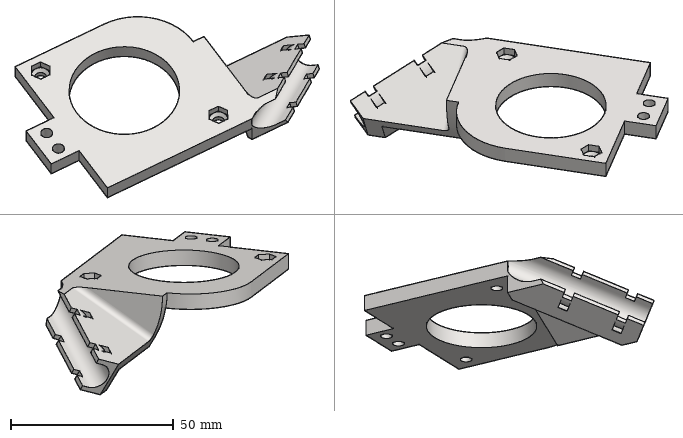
import cadquery as cq
import math

PLATE_WIDTH = 55.0
PLATE_LENGTH = 52.0
PLATE_THICKNESS = 5.0
CORNER_RADIUS = 20.0
FAN_BORE_DIAMETER = 34.0
FAN_BORE_CENTER = (25.3, 24.0)

TAB_LEFT = 23.1
TAB_WIDTH = 15.0
TAB_LENGTH = 10.0
TAB_HOLE_COUNT = 2
TAB_HOLE_SPACING = 7.0
TAB_HOLE_FIRST_X = 27.1
TAB_HOLE_Y = -TAB_LENGTH / 2

SCREW_DIAMETER = 3.6
SCREW_CENTERS = [(5.35, 5.95), (48.35, 43.95)]
NUT_ACROSS_FLATS = 5.7
NUT_DEPTH = 2.3
HEX_HALF_ANGLE = 30.0

TILT = math.radians(30.0)
PIVOT_X = 49.0
ARM_LENGTH = PIVOT_X - CORNER_RADIUS
ARM_START_Y = PLATE_LENGTH
SLAB_THICKNESS = 4.0
BLOCK_HEIGHT = 12.15
WALL_THICKNESS = 3.85
WALL_FILLET = 2.0

CLIP_FRONT_OFFSET = 64.85
CLIP_BACK_OFFSET = 48.85
CLIP_TOP_Y = 88.59
CLIP_CORNER_ALONG = CLIP_TOP_Y - CLIP_FRONT_OFFSET
ROD_RADIUS = 4.5
ROD_INSET = 2.1
TIE_RING_INNER_RADIUS = 6.2
TIE_RING_OUTER_RADIUS = 7.65
TIE_WIDTH = 3.0
TIE_SPACING = 18.0
TIE_COUNT = 2
TIE_FIRST = 7.0

MARGIN = 60.0

ALONG_ARM = cq.Vector(-math.cos(TILT), 0, -math.sin(TILT))
ACROSS_ARM = cq.Vector(0, 1, 0)
INTO_ARM = ALONG_ARM.cross(ACROSS_ARM)
PIVOT = cq.Vector(PIVOT_X, 0, 0)


def arm_point(along, across, depth):
    """Point given along the lean, along Y, and perpendicular to the leaning top face."""
    return PIVOT + ALONG_ARM * along + ACROSS_ARM * across + INTO_ARM * depth


def arm_plane(depth):
    """Plane parallel to the leaning top face, at a depth below it."""
    return cq.Plane(arm_point(0, 0, depth), ALONG_ARM, INTO_ARM)


def clip_plane(distance):
    """Section across the rod clip, its origin on the clip's front top edge at a distance from its end."""
    origin = arm_point(CLIP_CORNER_ALONG, CLIP_TOP_Y, 0)
    rod_direction = (ALONG_ARM + ACROSS_ARM).normalized()
    inward = (ALONG_ARM - ACROSS_ARM).normalized()
    return cq.Plane(origin - rod_direction * distance, inward, rod_direction)


def make_plate():
    plate = (
        cq.Workplane("XY")
        .lineTo(PLATE_WIDTH, 0)
        .lineTo(PLATE_WIDTH, PLATE_LENGTH)
        .lineTo(CORNER_RADIUS, PLATE_LENGTH)
        .radiusArc((0, PLATE_LENGTH - CORNER_RADIUS), -CORNER_RADIUS)
        .close()
        .extrude(-PLATE_THICKNESS)
    )
    tab = cq.Workplane("XY").box(TAB_WIDTH, TAB_LENGTH, PLATE_THICKNESS, centered=False)
    return plate.union(tab.translate((TAB_LEFT, -TAB_LENGTH, -PLATE_THICKNESS)))


def make_nut_pocket():
    """Hexagonal pocket whose floor is a cone narrowing to the screw hole."""
    across_corners = NUT_ACROSS_FLATS / math.cos(math.radians(HEX_HALF_ANGLE))
    hexagon = cq.Workplane("XY").transformed(rotate=(0, 0, HEX_HALF_ANGLE)).polygon(6, across_corners)
    cone = cq.Solid.makeCone(
        NUT_ACROSS_FLATS / 2,
        SCREW_DIAMETER / 2,
        (NUT_ACROSS_FLATS - SCREW_DIAMETER) / 2,
        pnt=cq.Vector(0, 0, -NUT_DEPTH),
        dir=cq.Vector(0, 0, -1),
    )
    return hexagon.extrude(-NUT_DEPTH).union(cq.Workplane(cone))


def make_plate_holes():
    tab_holes = [(TAB_HOLE_FIRST_X + i * TAB_HOLE_SPACING, TAB_HOLE_Y) for i in range(TAB_HOLE_COUNT)]
    top = cq.Workplane("XY")
    screws = top.pushPoints(SCREW_CENTERS + tab_holes).circle(SCREW_DIAMETER / 2).extrude(-PLATE_THICKNESS)
    fan_bore = top.center(*FAN_BORE_CENTER).circle(FAN_BORE_DIAMETER / 2).extrude(-PLATE_THICKNESS)
    holes = screws.union(fan_bore)
    for x, y in SCREW_CENTERS:
        holes = holes.union(make_nut_pocket().translate((x, y, 0)))
    return holes


def extrude_along_y(points, length):
    """Extrude an outline of points lying in the arm's start plane toward +Y."""
    outline = [(p.x, p.z) for p in points]
    return cq.Workplane("XZ", origin=(0, ARM_START_Y, 0)).polyline(outline).close().extrude(-length)


def make_arm_body():
    """Leaning block, filled out to the plate's right side beyond the pivot."""
    along_at_side = (BLOCK_HEIGHT * math.sin(TILT) - (PLATE_WIDTH - PIVOT_X)) / math.cos(TILT)
    outline = [
        PIVOT,
        arm_point(ARM_LENGTH, 0, 0),
        arm_point(ARM_LENGTH, 0, BLOCK_HEIGHT),
        arm_point(along_at_side, 0, BLOCK_HEIGHT),
        cq.Vector(PLATE_WIDTH, 0, 0),
    ]
    return extrude_along_y(outline, CLIP_TOP_Y - ARM_START_Y)


def make_wall():
    """Wall between plate and arm: a sector about the pivot, with a fillet at its foot."""
    back_y = ARM_START_Y + WALL_THICKNESS
    arc_middle = PIVOT + cq.Vector(-math.cos(TILT / 2), 0, -math.sin(TILT / 2)) * ARM_LENGTH
    arc_end = arm_point(ARM_LENGTH, 0, 0)
    sector = (
        cq.Workplane("XZ", origin=(0, ARM_START_Y, 0))
        .moveTo(PIVOT.x, PIVOT.z)
        .lineTo(PIVOT.x - ARM_LENGTH, 0)
        .threePointArc((arc_middle.x, arc_middle.z), (arc_end.x, arc_end.z))
        .close()
        .extrude(-WALL_THICKNESS - WALL_FILLET)
    )
    filleted_wall = (
        cq.Workplane(cq.Plane(PIVOT, ACROSS_ARM, ALONG_ARM))
        .moveTo(ARM_START_Y, 0)
        .lineTo(back_y + WALL_FILLET, 0)
        .radiusArc((back_y, -WALL_FILLET), -WALL_FILLET)
        .lineTo(back_y, -ARM_LENGTH)
        .lineTo(ARM_START_Y, -ARM_LENGTH)
        .close()
        .extrude(ARM_LENGTH)
    )
    return sector.intersect(filleted_wall)


def arm_prism(points, depth):
    """Prism with its outline in the leaning plane, reaching from a depth down past the arm."""
    return cq.Workplane(arm_plane(depth)).polyline(points).close().extrude(MARGIN)


def make_arm_trims():
    """Material outside the clip's sloping front and end, and below the slab behind the clip."""
    corner = (CLIP_CORNER_ALONG, CLIP_TOP_Y)
    front_foot = (CLIP_CORNER_ALONG - MARGIN, CLIP_TOP_Y - MARGIN)
    front_top = (CLIP_CORNER_ALONG - MARGIN, CLIP_TOP_Y)
    end_foot = (CLIP_CORNER_ALONG + MARGIN, CLIP_TOP_Y - MARGIN)
    end_top = (CLIP_CORNER_ALONG + MARGIN, CLIP_TOP_Y)
    outside_depth = -BLOCK_HEIGHT
    front = arm_prism([corner, front_foot, front_top], outside_depth)
    end = arm_prism([corner, end_foot, end_top], outside_depth)

    back_start = ARM_START_Y - CLIP_BACK_OFFSET
    back_corner = (back_start, ARM_START_Y)
    back_top = (back_start + MARGIN, ARM_START_Y + MARGIN)
    back_foot = (back_start + MARGIN, ARM_START_Y)
    underside = arm_prism([back_corner, back_top, back_foot], SLAB_THICKNESS)
    return front.union(end).union(underside)


def clip_section(distance):
    """Sketch plane across the clip, centred on the rod."""
    return cq.Workplane(clip_plane(distance)).center(ROD_INSET, -BLOCK_HEIGHT / 2)


def make_rod_channel():
    """U-shaped channel: a half-round bed open to the clip's front between two flat lips."""
    return (
        clip_section(0)
        .moveTo(0, ROD_RADIUS)
        .threePointArc((ROD_RADIUS, 0), (0, -ROD_RADIUS))
        .lineTo(-MARGIN, -ROD_RADIUS)
        .lineTo(-MARGIN, ROD_RADIUS)
        .close()
        .extrude(MARGIN, both=True)
    )


def make_tie_passage(distance):
    """Cable tie passage around the rod: a ring behind it and notches through both lips."""
    ring = (
        clip_section(distance)
        .circle(TIE_RING_OUTER_RADIUS)
        .circle(TIE_RING_INNER_RADIUS)
        .extrude(TIE_WIDTH / 2, both=True)
    )
    lip_notch = (
        cq.Workplane(clip_plane(distance))
        .center(0, -BLOCK_HEIGHT / 2)
        .rect(2 * ROD_INSET, 2 * BLOCK_HEIGHT)
        .extrude(TIE_WIDTH / 2, both=True)
    )
    return ring.union(lip_notch)


arm = make_arm_body().cut(make_arm_trims()).union(make_wall()).cut(make_rod_channel())
for index in range(TIE_COUNT):
    arm = arm.cut(make_tie_passage(TIE_FIRST + index * TIE_SPACING))

result = make_plate().cut(make_plate_holes()).union(arm)